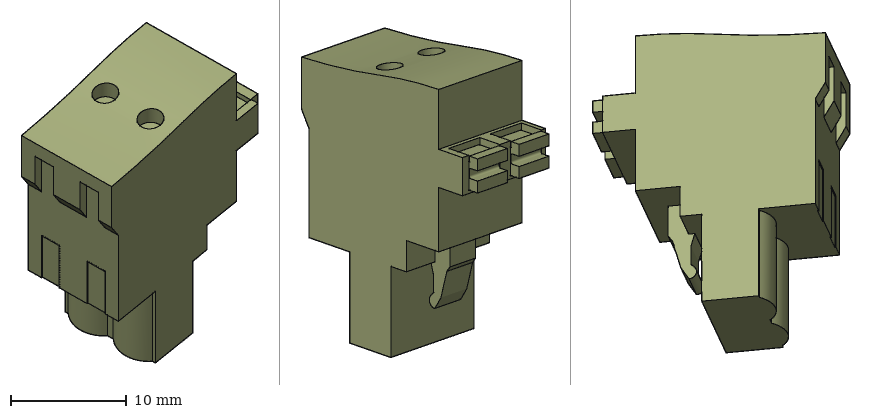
import cadquery as cq

width = 10.15
pole_pitch = width / 2
pole_centers = (-pole_pitch / 2, pole_pitch / 2)

top_back_z = 26.25
top_blend_y = 9.85
top_blend_z = 25.7
top_front_z = 24.8
overhang_depth = 0.9
overhang_z = 20.0
overhang_foot_z = 18.47
block_back_y = 16.77
block_back_bottom_z = 11.28
block_step_y = 12.8
block_bottom_z = 8.4

plug_front_y = 5.88
plug_back_y = 10.92
rib_front_y = 4.93
rib_width = 4.43

screw_hole_y = 8.25
screw_hole_radius = 1.15
screw_hole_floor_z = 23.98

slot_outer_edge = 3.57
overhang_slot_width = 2.07
overhang_slot_top_z = 23.25
lower_slot_width = 2.0
lower_slot_top_z = 13.33
lower_slot_depth = 0.1

shelf_back_y = 19.65
shelf_top_z = 20.73
shelf_bottom_z = 17.21
pocket_front_y = 17.21
pocket_width = 3.78
button_shift = -0.13
button_centers = [center + button_shift for center in pole_centers]

button_width = 3.65
button_back_y = 20.65
button_top_z = 20.65
button_bottom_z = 17.5
button_stem_drop = 0.55
button_notch_top_z = 19.55
button_notch_bottom_z = 18.6
button_notch_fillet = 0.2

latch_width = 3.15
latch_back_y = 14.62
latch_root_front_y = 12.25
latch_arm_front_y = 12.6
latch_taper_z = 7.25
latch_neck_z = 5.48
latch_knob_top = (12.28, 5.15)
latch_knob_front = (12.18, 4.43)
latch_knob_bottom = (12.78, 4.1)
latch_arm_back_bottom = (13.51, 5.25)
latch_arm_back_top = (14.25, 7.9)


def box(x_range, y_range, z_range):
    """Axis-aligned box between two limits on each axis."""
    (x0, x1), (y0, y1), (z0, z1) = x_range, y_range, z_range
    return cq.Workplane("XY").box(x1 - x0, y1 - y0, z1 - z0, centered=False).translate((x0, y0, z0))


def centered_range(center, size):
    return (center - size / 2, center + size / 2)


def extrude_across(profile, size):
    """Extrude a YZ profile along X, evenly to both sides of the middle."""
    return profile.extrude(size / 2, both=True)


def make_block():
    run = block_back_y - top_blend_y
    drop = top_back_z - top_blend_z
    top_back_radius = (run**2 + drop**2) / (2 * drop)
    profile = (
        cq.Workplane("YZ")
        .moveTo(block_back_y, top_back_z)
        .radiusArc((top_blend_y, top_blend_z), -top_back_radius)
        .tangentArcPoint((0, top_front_z), relative=False)
        .lineTo(0, overhang_z)
        .lineTo(overhang_depth, overhang_foot_z)
        .lineTo(overhang_depth, block_bottom_z)
        .lineTo(block_step_y, block_bottom_z)
        .lineTo(block_step_y, block_back_bottom_z)
        .lineTo(block_back_y, block_back_bottom_z)
        .close()
    )
    return extrude_across(profile, width)


def make_plug():
    plug = box(centered_range(0, width), (plug_front_y, plug_back_y), (0, block_bottom_z))
    for center in pole_centers:
        left, right = centered_range(center, rib_width)
        rib = (
            cq.Workplane("XY")
            .moveTo(left, plug_front_y)
            .threePointArc((center, rib_front_y), (right, plug_front_y))
            .lineTo(right, plug_back_y)
            .lineTo(left, plug_back_y)
            .close()
            .extrude(block_bottom_z)
        )
        plug = plug.union(rib)
    return plug


def make_shelf():
    shelf = box(centered_range(0, width), (block_back_y, shelf_back_y), (shelf_bottom_z, shelf_top_z))
    for center in button_centers:
        pocket = box(
            centered_range(center, pocket_width),
            (pocket_front_y, shelf_back_y),
            (button_bottom_z, shelf_top_z),
        )
        shelf = shelf.cut(pocket)
    return shelf


def make_latch():
    profile = (
        cq.Workplane("YZ")
        .moveTo(latch_back_y, block_back_bottom_z)
        .lineTo(latch_back_y, block_bottom_z)
        .lineTo(*latch_arm_back_top)
        .lineTo(*latch_arm_back_bottom)
        .lineTo(*latch_knob_bottom)
        .threePointArc(latch_knob_front, latch_knob_top)
        .lineTo(latch_arm_front_y, latch_neck_z)
        .lineTo(latch_arm_front_y, latch_taper_z)
        .lineTo(latch_root_front_y, block_bottom_z)
        .lineTo(block_step_y, block_bottom_z)
        .lineTo(block_step_y, block_back_bottom_z)
        .close()
    )
    return extrude_across(profile, latch_width)


def make_screw_holes():
    return (
        cq.Workplane("XY", origin=(0, screw_hole_y, screw_hole_floor_z))
        .pushPoints([(center, 0) for center in pole_centers])
        .circle(screw_hole_radius)
        .extrude(top_back_z - screw_hole_floor_z)
    )


def make_front_slots(slot_width, y_range, z_range):
    """Pair of slots, mirrored about the middle, with a common distance to their outer edges."""
    right_slot = box((slot_outer_edge - slot_width, slot_outer_edge), y_range, z_range)
    return right_slot.union(right_slot.mirror("YZ"))


def make_housing():
    body = make_block().union(make_plug()).union(make_shelf()).union(make_latch())
    overhang_slots = make_front_slots(
        overhang_slot_width, (0, overhang_depth), (overhang_foot_z, overhang_slot_top_z)
    )
    lower_slots = make_front_slots(
        lower_slot_width,
        (overhang_depth, overhang_depth + lower_slot_depth),
        (block_bottom_z, lower_slot_top_z),
    )
    return body.cut(make_screw_holes()).cut(overhang_slots).cut(lower_slots)


def make_button(center):
    """Button with a lowered stem in the shelf pocket and two lugs behind the shelf."""
    stem_top_z = button_top_z - button_stem_drop
    x_range = centered_range(center, button_width)
    stem = box(x_range, (pocket_front_y, shelf_back_y), (button_bottom_z, stem_top_z))
    head = box(x_range, (shelf_back_y, button_back_y), (button_bottom_z, button_top_z))
    notch = box(x_range, (shelf_back_y, button_back_y), (button_notch_bottom_z, button_notch_top_z))
    notch = notch.edges("|X and <Y").fillet(button_notch_fillet)
    return stem.union(head).cut(notch)


housing = make_housing()
buttons = [make_button(center).val() for center in button_centers]

result = cq.Compound.makeCompound([housing.val(), *buttons])